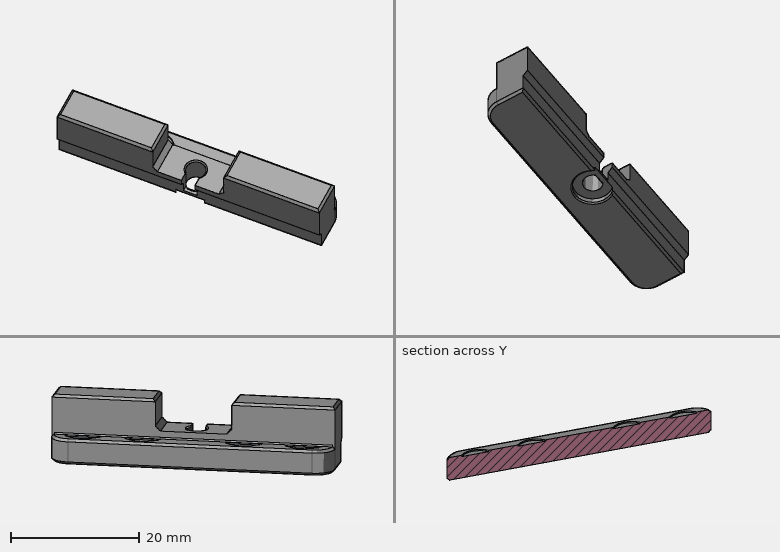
import cadquery as cq
length = 45.0
depth = 8.9
height = 10.35
half_length = length / 2

block_back = 5.8
edge_chamfer = 0.4
front_step = 0.8
front_step_top = 4.2

flange_height = 4.05
flange_corner_radius = 3.1
root_chamfer = 0.22

notch_width = 12.15
notch_floor = 5.25
notch_corner_chamfer = 0.8

hole_diameter = 3.2
hole_y = 2.9
hole_chamfer = 0.22
counterbore_diameter = 6.4
counterbore_depth = 1.1
counterbore_chamfer = 0.22
slot_width = 2.35
slot_floor = 1.6
web_back = 1.65
web_top = 1.35

recess_diameter = 6.2
recess_depth = 0.22
recess_y = 4.9
recess_front = 6.1
recess_positions_x = (-17.5, -8.0, 8.0, 17.5)


def box(x_range, y_range, z_range):
    """Axis-aligned box between pairs of limits."""
    size = [limits[1] - limits[0] for limits in (x_range, y_range, z_range)]
    corner = (x_range[0], y_range[0], z_range[0])
    return cq.Workplane("XY").box(*size, centered=False).translate(corner)


def cylinder(diameter, x, y, z_bottom, z_top):
    """Vertical cylinder between two heights."""
    base = cq.Workplane("XY").workplane(offset=z_bottom).center(x, y)
    return base.circle(diameter / 2).extrude(z_top - z_bottom)


def cone(diameter, chamfer, z_rim, z_step):
    """Chamfer cutter on the hole axis, widest at z_rim and narrowing over z_step."""
    rim = cq.Workplane("XY").workplane(offset=z_rim).center(0, hole_y)
    rim = rim.circle(diameter / 2 + chamfer)
    return rim.workplane(offset=z_step).circle(diameter / 2).loft()


def make_base():
    """Low body with rounded back corners and chamfered rims."""
    base = box((-half_length, half_length), (front_step, depth), (0, flange_height))
    base = base.edges("|Z and >Y").fillet(flange_corner_radius)
    base = base.faces("<Z").edges().chamfer(edge_chamfer)
    top_rim = base.faces(">Z").edges("not <Y")
    return top_rim.chamfer(edge_chamfer)


def make_block():
    """Upright block with a stepped front, notched in the middle."""
    profile = (
        cq.Workplane("YZ")
        .workplane(offset=-half_length)
        .moveTo(0, front_step_top)
        .lineTo(0, height)
        .lineTo(block_back, height)
        .lineTo(block_back, 2 * edge_chamfer)
        .lineTo(front_step, 2 * edge_chamfer)
        .lineTo(front_step, front_step_top - front_step)
        .close()
    )
    block = profile.extrude(length)
    block = block.cut(make_notch())
    return block.faces(">Z").edges().chamfer(edge_chamfer)


def make_notch():
    """Cutter for the central notch, with sloped lower corners."""
    notch = box((-notch_width / 2, notch_width / 2), (0, block_back), (notch_floor, height))
    return notch.faces("<Z").edges("|Y").chamfer(notch_corner_chamfer)


def make_root_strip():
    """Small sloped strip where the block meets the flange."""
    strip = (
        cq.Workplane("YZ")
        .workplane(offset=-half_length + edge_chamfer)
        .moveTo(block_back, flange_height)
        .lineTo(block_back + root_chamfer, flange_height)
        .lineTo(block_back, flange_height + root_chamfer)
        .close()
    )
    return strip.extrude(length - 2 * edge_chamfer)


def make_screw_hole():
    """Cutter for the chamfered hole, its counterbore and the front slot."""
    hole = cylinder(hole_diameter, 0, hole_y, 0, notch_floor)
    web = box((-slot_width / 2, slot_width / 2), (0, web_back), (counterbore_depth, web_top))
    countersink = cone(hole_diameter, hole_chamfer, notch_floor, -hole_chamfer)
    counterbore = cylinder(counterbore_diameter, 0, hole_y, 0, counterbore_depth)
    counterbore_rim = cone(counterbore_diameter, counterbore_chamfer, 0, counterbore_chamfer)
    slot = box((-slot_width / 2, slot_width / 2), (0, hole_y), (slot_floor, notch_floor))
    cutter = hole.cut(web)
    for part in (countersink, counterbore, counterbore_rim, slot):
        cutter = cutter.union(part)
    return cutter


def make_recess(x):
    """Cutter for one round recess, cut off straight beside the block."""
    floor = flange_height - recess_depth
    disc = cylinder(recess_diameter, x, recess_y, floor, flange_height)
    return disc.intersect(box((-half_length, half_length), (recess_front, depth), (0, height)))


result = make_base().union(make_block()).union(make_root_strip())
result = result.cut(make_screw_hole())
for recess_x in recess_positions_x:
    result = result.cut(make_recess(recess_x))